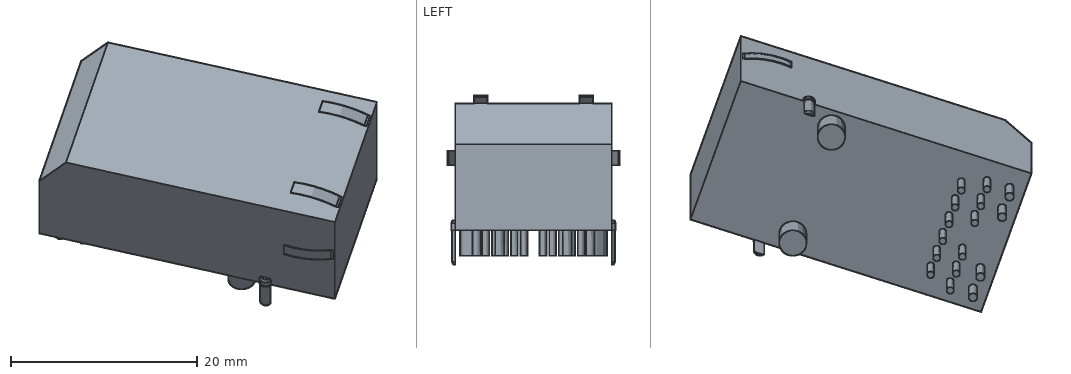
import cadquery as cq
import math

body_length = 33.02
body_width = 16.85
body_height = 13.67
slope_length = 3.0
slope_drop = 4.4
half_width = body_width / 2

lead_depth = 2.75
embed = 0.33
power_pin_diameter = 0.92
signal_pin_diameter = 0.75
pin_pitch = 1.02
power_row_x = 1.72
row_spacing = 2.58
power_pin_y = (3.63, 6.1)
signal_pins_per_side = 6
peg_diameter = 2.95
peg_x = 22.05
peg_y = 6.45

post_x = 25.23
post_axis_inset = 0.3
post_radius = 0.65
post_depth = 3.65
collar_radius = 0.743
collar_height = 1.1
edge_bevel_height = 0.33
edge_bevel_width = 0.15

spring_tip_x = 27.5
spring_peak_x = 28.8
spring_root_x = 32.95
spring_rise = 0.85
spring_thickness = 0.1
spring_root_sink = 0.05
top_spring_width = 1.5
top_spring_y = 5.68
side_spring_width = 1.6
side_spring_z = 7.8


def make_housing():
    """Block with its upper front edge sloped off."""
    return (
        cq.Workplane("XZ")
        .polyline([
            (0, 0),
            (body_length, 0),
            (body_length, body_height),
            (slope_length, body_height),
            (0, body_height - slope_drop),
        ])
        .close()
        .extrude(half_width, both=True)
    )


def make_leads(points, diameter):
    """Round leads below the housing, rooted slightly inside it."""
    return (
        cq.Workplane("XY")
        .workplane(offset=-lead_depth)
        .pushPoints(points)
        .circle(diameter / 2)
        .extrude(lead_depth + embed)
    )


def make_side_post():
    """Bevelled post and collar, kept only outside the -Y housing side."""
    axis_y = post_axis_inset - half_width
    profile = (
        cq.Workplane("XZ")
        .polyline([
            (0, -post_depth),
            (post_radius - edge_bevel_width, -post_depth),
            (post_radius, edge_bevel_height - post_depth),
            (post_radius, 0),
            (collar_radius, 0),
            (collar_radius, collar_height - edge_bevel_height),
            (collar_radius - edge_bevel_width, collar_height),
            (0, collar_height),
        ])
        .close()
    )
    post = profile.revolve(360, (0, 0), (0, 1)).translate((post_x, axis_y, 0))
    flat_overlap = 0.03
    keep_size = 4 * post_depth
    keep = cq.Workplane("XY").box(keep_size, keep_size, keep_size).translate(
        (post_x, flat_overlap - half_width - keep_size / 2, 0)
    )
    return post.intersect(keep)


def make_spring(width):
    """Arched leaf along X, centred on Y = 0, rising from a face at Z = 0."""
    run = spring_root_x - spring_peak_x
    drop = spring_rise + spring_root_sink
    outer_radius = (run**2 + drop**2) / (2 * drop)
    inner_radius = outer_radius - spring_thickness
    centre_z = spring_rise - outer_radius
    tip_angle = math.asin((spring_tip_x - spring_peak_x) / outer_radius)
    root_angle = math.asin(run / outer_radius)

    def arc_point(radius, angle):
        return (spring_peak_x + radius * math.sin(angle), centre_z + radius * math.cos(angle))

    return (
        cq.Workplane("XZ")
        .moveTo(*arc_point(outer_radius, tip_angle))
        .threePointArc(arc_point(outer_radius, 0), arc_point(outer_radius, root_angle))
        .lineTo(*arc_point(inner_radius, root_angle))
        .threePointArc(arc_point(inner_radius, 0), arc_point(inner_radius, tip_angle))
        .close()
        .extrude(width / 2, both=True)
    )


result = make_housing()

power_points = [(power_row_x, side * y) for side in (-1, 1) for y in power_pin_y]
peg_points = [(peg_x, side * peg_y) for side in (-1, 1)]
result = result.union(make_leads(power_points, power_pin_diameter))
result = result.union(make_leads(peg_points, peg_diameter))

signal_points = []
for step in range(1, signal_pins_per_side + 1):
    row = 1 + step % 2
    for side in (-1, 1):
        signal_points.append((power_row_x + row * row_spacing, side * step * pin_pitch))
result = result.union(make_leads(signal_points, signal_pin_diameter))

side_post = make_side_post()
result = result.union(side_post).union(side_post.mirror("XZ"))

top_spring = make_spring(top_spring_width)
for side in (-1, 1):
    result = result.union(top_spring.translate((0, side * top_spring_y, body_height)))

side_spring = (
    make_spring(side_spring_width)
    .rotate((0, 0, 0), (1, 0, 0), 90)
    .translate((0, -half_width, side_spring_z))
)
result = result.union(side_spring).union(side_spring.mirror("XZ"))